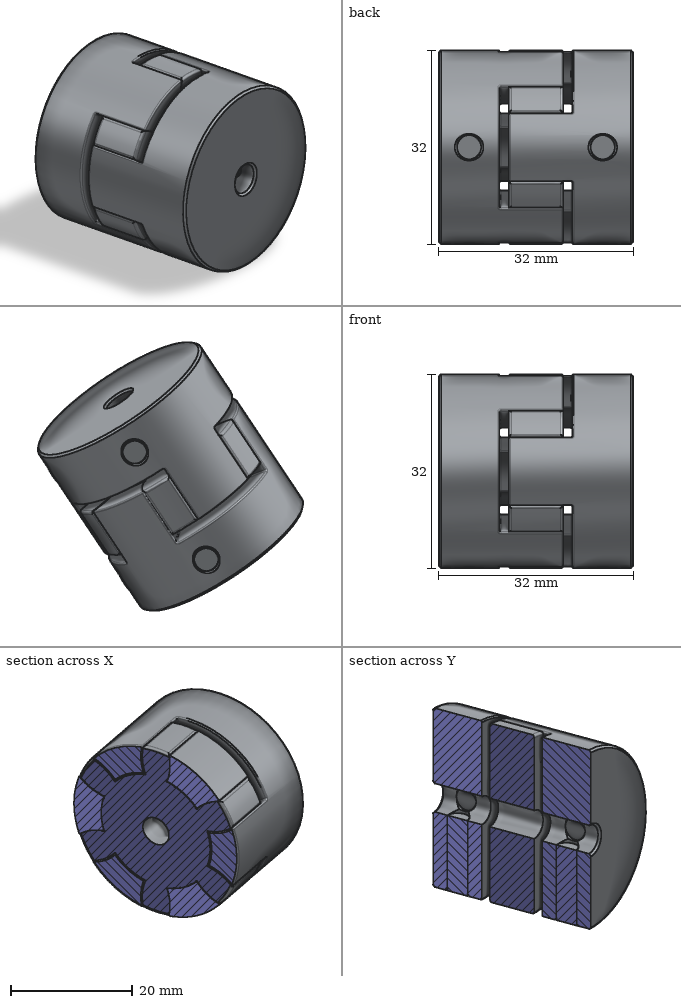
import cadquery as cq
import math

coupling_length = 32.0
coupling_radius = 16.0
bore_radius = 2.5
end_chamfer = 0.4

hub_body_length = 10.0
jaw_inner_radius = 10.6
jaw_fillet = 0.25
jaw_count = 3
jaw_pitch = 360 / jaw_count
pocket_start_angle = 90

leg_count = 2 * jaw_count
leg_pitch = 360 / leg_count
leg_half_width = 2.7
leg_flank_radius = 9.28
leg_flank_center_height = 13.73
leg_fillet = 0.48

screw_radius = 2.0
screw_mouth_radius = 2.37
screw_end_offset = 5.0
screw_angles = (0, 90)

jaw_gap = 1.5
hub_end_x = -coupling_length / 2
body_face_x = hub_end_x + hub_body_length
spider_half_length = -body_face_x - jaw_gap
spider_length = 2 * spider_half_length
jaw_length = spider_half_length - body_face_x
screw_x = coupling_length / 2 - screw_end_offset

edge_tolerance = 0.03


def x_plane(start_x):
    """YZ workplane at start_x with its first axis along +Z."""
    return cq.Workplane(cq.Plane(origin=(start_x, 0, 0), xDir=(0, 0, 1), normal=(1, 0, 0)))


def x_cylinder(radius, start_x, length):
    """Cylinder along +X that starts at start_x."""
    return x_plane(start_x).circle(radius).extrude(length)


def leg_lens(start_x, length, angle):
    """Lens-section bar between two flank arcs, turned about X by angle from the +Z side."""
    center_offset = leg_flank_radius - leg_half_width
    half_height = math.sqrt(leg_flank_radius**2 - center_offset**2)
    bottom = leg_flank_center_height - half_height
    top = leg_flank_center_height + half_height
    return (
        cq.Workplane("YZ", origin=(start_x, 0, 0))
        .moveTo(0, bottom)
        .threePointArc((leg_half_width, leg_flank_center_height), (0, top))
        .threePointArc((-leg_half_width, leg_flank_center_height), (0, bottom))
        .close()
        .extrude(length)
        .rotate((0, 0, 0), (1, 0, 0), angle)
    )


def make_jaw_clearance():
    """Space between the left hub's jaws: the core, the legs and the other hub's jaws."""
    clearance = x_cylinder(jaw_inner_radius, body_face_x, jaw_length)
    half_pitch = math.radians(leg_pitch / 2)
    reach = 2 * coupling_radius
    wedge = (
        x_plane(body_face_x)
        .polyline([
            (0, 0),
            (reach * math.cos(half_pitch), reach * math.sin(half_pitch)),
            (reach * math.cos(half_pitch), -reach * math.sin(half_pitch)),
        ])
        .close()
        .extrude(jaw_length)
    )
    for index in range(jaw_count):
        angle = pocket_start_angle + index * jaw_pitch
        clearance = clearance.union(wedge.rotate((0, 0, 0), (1, 0, 0), angle))
    for index in range(leg_count):
        clearance = clearance.union(leg_lens(body_face_x, jaw_length, index * leg_pitch))
    return clearance


def make_hub():
    """Left hub: chamfered disc with a chamfered bore and three rounded jaws, one of them at +Y."""
    hub = x_cylinder(coupling_radius, hub_end_x, hub_body_length + jaw_length)
    hub = hub.cut(make_jaw_clearance())
    hub = hub.cut(x_cylinder(bore_radius, hub_end_x, hub_body_length))
    hub = hub.faces("<X").chamfer(end_chamfer)
    jaw_edges = cq.selectors.BoxSelector(
        (body_face_x - edge_tolerance, -coupling_length, -coupling_length),
        (coupling_length, coupling_length, coupling_length),
    )
    bore_edge = cq.selectors.BoxSelector(
        (body_face_x - edge_tolerance, -bore_radius, -bore_radius),
        (body_face_x + edge_tolerance, bore_radius, bore_radius),
    )
    return hub.edges(jaw_edges - bore_edge).fillet(jaw_fillet)


def make_leg():
    """Top leg of the spider, reaching inwards into the core, with a rounded outer face."""
    rim = x_cylinder(coupling_radius, -spider_half_length, spider_length)
    leg = leg_lens(-spider_half_length, spider_length, 0).intersect(rim)
    return leg.faces(">Z").edges().fillet(leg_fillet)


def make_spider():
    """Round core with a bore and six evenly spaced legs that fill the spaces between jaws."""
    spider = x_cylinder(jaw_inner_radius, -spider_half_length, spider_length)
    leg = make_leg()
    for index in range(leg_count):
        spider = spider.union(leg.rotate((0, 0, 0), (1, 0, 0), index * leg_pitch))
    return spider.cut(x_cylinder(bore_radius, -spider_half_length, spider_length))


def place_on_hub(shape, x, angle):
    """Move a shape built along Z to x and turn it about X by angle from the -Z side."""
    return shape.translate((x, 0, 0)).rotate((0, 0, 0), (1, 0, 0), angle)


def make_screw_hole():
    """Cutter for a screw hole from the axis out through -Z, widened by a cone at the mouth."""
    cone_height = screw_mouth_radius - screw_radius
    hole = cq.Workplane("XY").circle(screw_radius).extrude(-coupling_radius)
    cone = cq.Solid.makeCone(
        screw_mouth_radius, screw_radius, cone_height,
        pnt=cq.Vector(0, 0, -coupling_radius), dir=cq.Vector(0, 0, 1),
    )
    return hole.union(cone)


def make_set_screw():
    """Plain set screw from the bore out to the rim."""
    return (
        cq.Workplane("XY", origin=(0, 0, -bore_radius))
        .circle(screw_radius)
        .extrude(bore_radius - coupling_radius)
    )


left_hub = make_hub()
right_hub = left_hub.rotate((0, 0, 0), (0, 0, 1), 180)
spider = make_spider()

set_screws = []
for angle in screw_angles:
    left_hub = left_hub.cut(place_on_hub(make_screw_hole(), -screw_x, angle))
    right_hub = right_hub.cut(place_on_hub(make_screw_hole(), screw_x, angle))
    for x in (-screw_x, screw_x):
        set_screws.append(place_on_hub(make_set_screw(), x, angle))

result = cq.Compound.makeCompound([
    left_hub.val(),
    right_hub.val(),
    spider.val(),
    *[screw.val() for screw in set_screws],
])